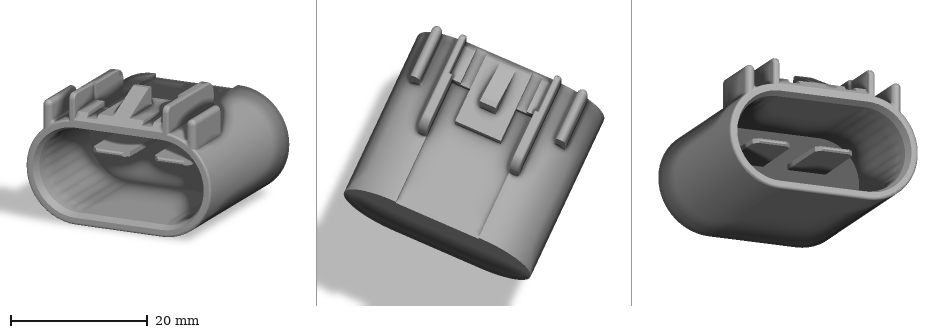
import cadquery as cq
import math


width = 30.0
length = 26.4
height = 16.0
total_height = 19.98
radius = height / 2
tangent_x = width / 2 - radius
rim_fillet = 0.35

wall = 1.6
floor_wall = wall + 0.05
mouth_wall = 1.1
mouth_chamfer_depth = 1.3
cavity_depth = 18.0

channel_half_width = 6.63
channel_floor_z = height - 0.6

embed_z = height - 1.0
deck_length = 6.42
deck_slope_length = 1.05
pad_top_z = 17.1
pad_half_width = 3.65
pad_length = 11.95
notch_outer_x = 5.3
notch_floor_z = 16.47
shelf_rear_z = 17.43

ramp_width = 2.58
ramp_crest_y = 7.62
ramp_rear_y = 8.6
ramp_rear_lean = 0.18

guide_outer_x = 8.1
guide_front_inner_x = 7.1
guide_length = 15.6
guide_front_round = 1.0
guide_rear_round = 2.05
guide_outer_fillet = 0.35
guide_front_inner_fillet = 0.25
guide_rear_inner_fillet = 0.15

rib_outer_x = 12.42
rib_width = 1.5
rib_length = 8.58
rib_top_z = 18.42
rib_base_z = 13.85
rib_root_fillet = 0.35

terminal_x = 4.98
terminal_z = 9.3
terminal_width = 6.05
terminal_thickness = 0.85
terminal_tip_y = 7.2
terminal_draft = 0.05
terminal_side_chamfer = 0.93
terminal_face_chamfer = 0.25


def box(x_range, y_range, z_range):
    """Axis-aligned box between the given limits."""
    (x0, x1), (y0, y1), (z0, z1) = x_range, y_range, z_range
    return cq.Workplane("XY").box(x1 - x0, y1 - y0, z1 - z0, centered=False).translate((x0, y0, z0))


def side_extrusion(side_sketch, x0, x1):
    """Extrude a closed sketch, drawn in the YZ plane, from x0 to x1."""
    return side_sketch.extrude(x1 - x0).translate((x0, 0, 0))


def both_sides(shape):
    """Join a feature on the +X side with its mirror image."""
    return shape.union(shape.mirror("YZ"))


def stadium(inset, y_front):
    """Stadium wire, set in from the outer section, on the plane Y = y_front."""
    plane = cq.Plane(origin=(0, y_front, radius), xDir=(1, 0, 0), normal=(0, 1, 0))
    return cq.Workplane(plane).slot2D(width - 2 * inset, height - 2 * inset)


def tapered_stadium(front_wall, rear_wall, y_front, y_rear):
    """Stadium solid whose inset from the outer section changes evenly from front to rear."""
    return (
        stadium(front_wall, y_front)
        .workplane(offset=y_rear - y_front)
        .slot2D(width - 2 * rear_wall, height - 2 * rear_wall)
        .loft(ruled=True)
    )


def make_cavity():
    """Slightly drafted bore with a lead-in chamfer at the mouth."""
    mouth = tapered_stadium(mouth_wall, wall, 0, mouth_chamfer_depth)
    bore = tapered_stadium(wall, floor_wall, mouth_chamfer_depth, cavity_depth)
    return mouth.union(bore)


def make_rib():
    """Upright side rib whose crest and front edge are fully rounded and meet in a ball."""
    x_range = (rib_outer_x - rib_width, rib_outer_x)
    round_radius = rib_width / 2
    crest_z = rib_top_z - round_radius
    ball_center = (rib_outer_x - round_radius, round_radius, crest_z)
    slab = box(x_range, (round_radius, rib_length), (rib_base_z, crest_z))
    front = cq.Workplane("XY").circle(round_radius).extrude(rib_base_z - crest_z).translate(ball_center)
    crest = cq.Workplane("XZ").circle(round_radius).extrude(round_radius - rib_length).translate(ball_center)
    ball = cq.Workplane("XY").sphere(round_radius).translate(ball_center)
    return slab.union(front).union(crest).union(ball)


def fillet_rib_roots(body):
    """Blend the inner face of each rib into the round end of the shroud."""
    root_x = rib_outer_x - rib_width
    root_z = radius + math.sqrt(radius**2 - (root_x - tangent_x) ** 2)
    for x in (-root_x, root_x):
        body = body.edges(cq.NearestToPointSelector((x, rib_length / 2, root_z))).fillet(rib_root_fillet)
    return body


def guide_panel(x0, x1):
    """Upright panel from x0 to x1 with rounded top corners."""
    sketch = (
        cq.Workplane("YZ")
        .moveTo(0, embed_z)
        .lineTo(0, total_height - guide_front_round)
        .radiusArc((guide_front_round, total_height), guide_front_round)
        .lineTo(guide_length - guide_rear_round, total_height)
        .radiusArc((guide_length, total_height - guide_rear_round), guide_rear_round)
        .lineTo(guide_length, embed_z)
        .close()
    )
    return side_extrusion(sketch, x0, x1)


def make_guide_wall():
    """Guide wall with softened edges, thicker behind the deck than beside it."""
    thin = guide_panel(guide_front_inner_x, guide_outer_x)
    thin = thin.faces(">X").edges("not <Z").fillet(guide_outer_fillet)
    thin = thin.faces("<X").edges("not <Z").fillet(guide_front_inner_fillet)
    thick = guide_panel(channel_half_width, guide_outer_x - guide_outer_fillet)
    thick = thick.faces("<X").edges("not <Z").fillet(guide_rear_inner_fillet)
    behind_deck = box((0, guide_outer_x), (deck_length, guide_length), (embed_z, total_height))
    return thin.union(thick.intersect(behind_deck))


def deck_block(x0, x1, y_rear, rear_z):
    """Block that climbs the front slope to pad level, then runs straight to rear_z at its back."""
    sketch = (
        cq.Workplane("YZ")
        .moveTo(0, embed_z)
        .lineTo(0, height)
        .lineTo(deck_slope_length, pad_top_z)
        .lineTo(y_rear, rear_z)
        .lineTo(y_rear, embed_z)
        .close()
    )
    return side_extrusion(sketch, x0, x1)


def make_deck():
    """Central pad, side shelves and the lower notch floors between them."""
    pad = deck_block(-pad_half_width, pad_half_width, pad_length, pad_top_z)
    shelf_outer_x = guide_front_inner_x + guide_front_inner_fillet
    shelf = deck_block(notch_outer_x, shelf_outer_x, deck_length, shelf_rear_z)
    notch = deck_block(pad_half_width, notch_outer_x, deck_length, pad_top_z)
    notch = notch.cut(box((0, width), (0, length), (notch_floor_z, total_height)))
    return pad.union(both_sides(shelf)).union(both_sides(notch))


def make_ramp():
    """Latch ramp rising backward from the front of the pad to a short flat crest."""
    sketch = (
        cq.Workplane("YZ")
        .moveTo(deck_slope_length, pad_top_z)
        .lineTo(ramp_crest_y, total_height)
        .lineTo(ramp_rear_y - ramp_rear_lean, total_height)
        .lineTo(ramp_rear_y, pad_top_z)
        .close()
    )
    return side_extrusion(sketch, -ramp_width / 2, ramp_width / 2)


def terminal_prism(plane, size, chamfer, depth):
    """Terminal outline in a plane whose second axis is Y, chamfered at the tip, centred on the plane."""
    half = size / 2
    front_half = half - terminal_draft
    tip_half = front_half - chamfer
    return (
        cq.Workplane(plane)
        .moveTo(half, length)
        .lineTo(half, cavity_depth)
        .lineTo(front_half, terminal_tip_y + chamfer)
        .lineTo(tip_half, terminal_tip_y)
        .lineTo(-tip_half, terminal_tip_y)
        .lineTo(-front_half, terminal_tip_y + chamfer)
        .lineTo(-half, cavity_depth)
        .lineTo(-half, length)
        .close()
        .extrude(depth / 2, both=True)
    )


def make_terminal(center_x):
    """Flat blade with a tip chamfered on all four sides, running through to the back of the shroud."""
    z_by_y = cq.Plane(origin=(0, 0, 0), xDir=(0, 0, 1), normal=(-1, 0, 0))
    plan = terminal_prism("XY", terminal_width, terminal_side_chamfer, terminal_thickness)
    profile = terminal_prism(z_by_y, terminal_thickness, terminal_face_chamfer, terminal_width)
    return plan.intersect(profile).translate((center_x, 0, terminal_z))


def make_housing():
    """Shroud with its key channel, ribs, guide walls, latch deck and cavity."""
    shell = stadium(0, 0).extrude(length)
    shell = shell.faces("<Y").edges().fillet(rim_fillet)
    channel = box(
        (-channel_half_width, channel_half_width),
        (deck_length, length),
        (channel_floor_z, total_height),
    )
    body = shell.cut(channel)
    body = body.union(both_sides(make_rib()))
    body = fillet_rib_roots(body)
    body = body.union(both_sides(make_guide_wall()))
    body = body.union(make_deck()).union(make_ramp())
    return body.cut(make_cavity())


terminals = [make_terminal(x) for x in (-terminal_x, terminal_x)]

housing = make_housing()
for terminal in terminals:
    housing = housing.cut(terminal)

result = cq.Compound.makeCompound([housing.val(), *[terminal.val() for terminal in terminals]])